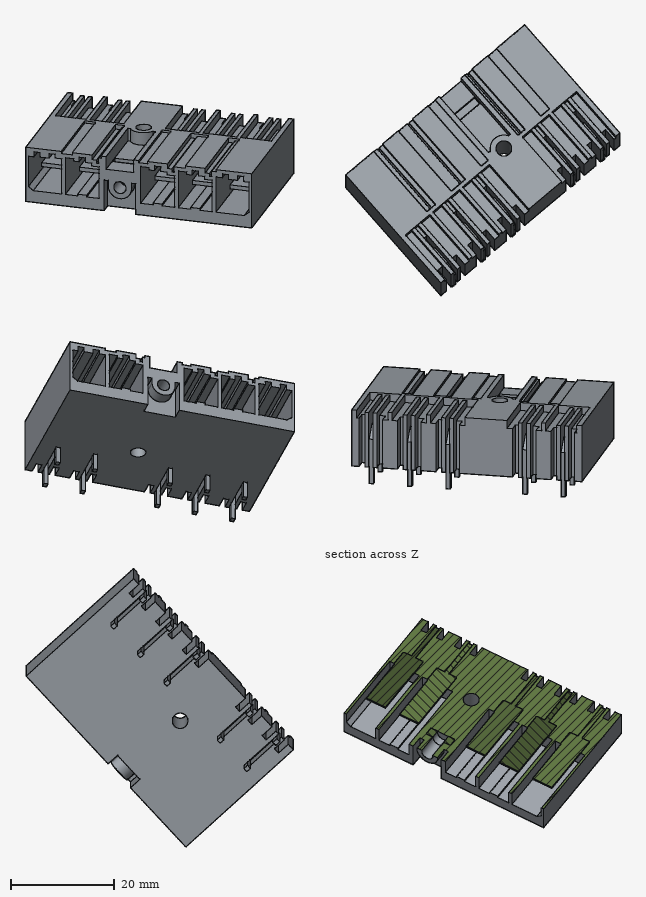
import cadquery as cq


LENGTH = 45.7
DEPTH = 28.3
HEIGHT = 11.45
POSITIONS = 6
PITCH = LENGTH / POSITIONS
FLANGE_POSITION = 2
BAY_POSITIONS = [i for i in range(POSITIONS) if i != FLANGE_POSITION]

CAVITY_DEPTH = 15.77
CAVITY_FLOOR = 2.45
CAVITY_HALF = 3.45
CAVITY_KEY_TOP = 10.65
CAVITY_KEY_BASE = 9.7
MIDDLE_KEY_HALF = 0.65
MIDDLE_LEFT_TOP = 10.2
MIDDLE_LEFT_STEP = 1.75
MIDDLE_RIGHT_TOP = 9.1
MIDDLE_RIGHT_STEP = 1.9
MIDDLE_RIB_HALF = 0.9
MIDDLE_RIB_HEIGHT = 0.35
END_OUTER = 3.25
END_OUTER_TOP = 9.6
END_INNER_TOP = 9.88
END_KEY_INNER = 0.9
END_KEY_OUTER = 2.15
END_CHAMFER_X = 0.95
END_CHAMFER_Z = 0.8

GROOVE_LENGTH = CAVITY_DEPTH
GROOVE_DEPTH = 0.45
GROOVE_START = 2.0
END_WALL_GROOVE = 3.4
STEP_DEPTH = 0.95
STEP_WIDTH = 0.85
SLIT_DEPTH = 1.6
SLIT_WIDTH = 0.45

POCKET_LENGTH = 11.7
POCKET_DEPTH = 1.6
POCKET_HALF = 3.45
POCKET_OUTER = 2.8
RIB_OUTER = 1.2
RIB_DROP = 0.3
NOTCH_OUTER = 2.35
NOTCH_LENGTH = 2.55

FLANGE_X = (FLANGE_POSITION + 0.5) * PITCH - LENGTH / 2
FLANGE_HALF = 2.8
FLANGE_DROP = 2.65
FLANGE_LENGTH = 14.68
MOUNT_Y = 16.0
MOUNT_HOLE_RADIUS = 1.5
MOUNT_BOSS_RADIUS = 2.65
RELIEF_HALF = 3.2
RELIEF_HEIGHT = 6.45
RELIEF_DEPTH = 2.45
SCREW_Z = 5.25
SCREW_HOLE_RADIUS = 1.25
SCREW_BOSS_RADIUS = 2.35

NUT_SIDE = 5.4
NUT_THICKNESS = 1.6
NUT_Y = 4.1

SHEET = 0.82
BLADE_WIDTH = 4.45
BLADE_Z = 5.7
BLADE_TIP_Y = 5.5
REAR_PIN_WIDTH = 1.1
FRONT_PIN_WIDTH = 0.95
PIN_LENGTH = 3.47
CONTACT_BACK = 0.45
CONTACT_LENGTH = 8.7
SHOULDER_FRONT = 6.68
SHOULDER_RISE = 1.85
SLOPE_LENGTH = 2.4
SLOPE_DROP = 2.4
CONTACT_BACK_Y = DEPTH - CONTACT_BACK
CONTACT_FRONT_Y = CONTACT_BACK_Y - CONTACT_LENGTH
BLADE_TOP = BLADE_Z + SHEET / 2
BLADE_BOTTOM = BLADE_Z - SHEET / 2
SHOULDER_TOP = BLADE_TOP + SHOULDER_RISE


def block(x_range, y_range, z_range):
    """A box between the given pairs of limits."""
    corner = (x_range[0], y_range[0], z_range[0])
    size = [limits[1] - limits[0] for limits in (x_range, y_range, z_range)]
    return cq.Workplane("XY").box(*size, centered=False).translate(corner)


def spread(center, half):
    """The pair of limits that lies evenly about a center."""
    return (center - half, center + half)


def from_front(profile, y_start, length):
    """Extrude a closed X-Z profile towards the back."""
    return profile.extrude(-length).translate((0, y_start, 0))


def bay_x(position):
    """X of the center line of a position, counted from the left."""
    return (position + 0.5) * PITCH - LENGTH / 2


def middle_cavity(x):
    """Cavity with one key slot in its roof and a low rib on its floor."""
    rib_top = CAVITY_FLOOR + MIDDLE_RIB_HEIGHT
    points = [
        (-CAVITY_HALF, CAVITY_FLOOR),
        (-CAVITY_HALF, MIDDLE_LEFT_TOP),
        (-MIDDLE_LEFT_STEP, MIDDLE_LEFT_TOP),
        (-MIDDLE_LEFT_STEP, CAVITY_KEY_BASE),
        (-MIDDLE_KEY_HALF, CAVITY_KEY_BASE),
        (-MIDDLE_KEY_HALF, CAVITY_KEY_TOP),
        (MIDDLE_KEY_HALF, CAVITY_KEY_TOP),
        (MIDDLE_KEY_HALF, CAVITY_KEY_BASE),
        (MIDDLE_RIGHT_STEP, CAVITY_KEY_BASE),
        (MIDDLE_RIGHT_STEP, MIDDLE_RIGHT_TOP),
        (CAVITY_HALF, MIDDLE_RIGHT_TOP),
        (CAVITY_HALF, CAVITY_FLOOR),
        (MIDDLE_RIB_HALF, CAVITY_FLOOR),
        (MIDDLE_RIB_HALF, rib_top),
        (-MIDDLE_RIB_HALF, rib_top),
        (-MIDDLE_RIB_HALF, CAVITY_FLOOR),
    ]
    profile = cq.Workplane("XZ").polyline(points).close()
    return from_front(profile, 0, CAVITY_DEPTH).translate((x, 0, 0))


def end_cavity(x, outward):
    """Cavity with two key slots in its roof and a chamfered outer floor corner; outward is -1 or 1."""
    points = [
        (-CAVITY_HALF, CAVITY_FLOOR),
        (-CAVITY_HALF, END_INNER_TOP),
        (-END_KEY_OUTER, END_INNER_TOP),
        (-END_KEY_OUTER, CAVITY_KEY_TOP),
        (-END_KEY_INNER, CAVITY_KEY_TOP),
        (-END_KEY_INNER, CAVITY_KEY_BASE),
        (END_KEY_INNER, CAVITY_KEY_BASE),
        (END_KEY_INNER, CAVITY_KEY_TOP),
        (END_KEY_OUTER, CAVITY_KEY_TOP),
        (END_KEY_OUTER, END_OUTER_TOP),
        (END_OUTER, END_OUTER_TOP),
        (END_OUTER, CAVITY_FLOOR + END_CHAMFER_Z),
        (END_OUTER - END_CHAMFER_X, CAVITY_FLOOR),
    ]
    profile = cq.Workplane("XZ").polyline([(outward * px, pz) for px, pz in points]).close()
    return from_front(profile, 0, CAVITY_DEPTH).translate((x, 0, 0))


def top_groove(x_start, x_end, depth):
    return block((x_start, x_end), (0, GROOVE_LENGTH), (HEIGHT - depth, HEIGHT))


def keyed_groove(x, x_end):
    """Stepped groove to the right of a bay center: a step, a narrow slit, then a shallow run."""
    step_start = x + GROOVE_START
    slit_start = step_start + STEP_WIDTH
    slit_end = slit_start + SLIT_WIDTH
    step = top_groove(step_start, slit_start, STEP_DEPTH)
    slit = top_groove(slit_start, slit_end, SLIT_DEPTH)
    return step.union(slit).union(top_groove(slit_end, x_end, GROOVE_DEPTH))


def top_grooves():
    """All grooves between neighbouring bays and beside the screw flange."""
    left_end, before_flange, after_flange, middle, right_end = [bay_x(i) for i in BAY_POSITIONS]
    grooves = top_groove(left_end + END_WALL_GROOVE, before_flange - GROOVE_START, GROOVE_DEPTH)
    grooves = grooves.union(keyed_groove(before_flange, before_flange + PITCH / 2))
    grooves = grooves.union(
        top_groove(after_flange - PITCH / 2, after_flange - GROOVE_START, GROOVE_DEPTH)
    )
    grooves = grooves.union(keyed_groove(after_flange, middle - GROOVE_START))
    return grooves.union(keyed_groove(middle, right_end - END_WALL_GROOVE))


def rear_pocket(position):
    """Pocket behind a bay, less its two ribs, with two notches through the back edge."""
    x = bay_x(position)
    left = POCKET_OUTER if position == 0 else POCKET_HALF
    right = POCKET_OUTER if position == POSITIONS - 1 else POCKET_HALF
    back = (DEPTH - POCKET_LENGTH, DEPTH)
    pocket = block((x - left, x + right), back, (HEIGHT - POCKET_DEPTH, HEIGHT))
    ribs = block(spread(x, RIB_OUTER), back, (0, HEIGHT - RIB_DROP))
    rib_gap = block(spread(x, SHEET / 2), back, (HEIGHT - POCKET_DEPTH, HEIGHT))
    notch_y = (DEPTH - NOTCH_LENGTH, DEPTH)
    notches = block(spread(x, NOTCH_OUTER), notch_y, (0, HEIGHT)).cut(
        block(spread(x, RIB_OUTER), notch_y, (0, HEIGHT))
    )
    return pocket.cut(ribs).union(rib_gap).union(notches)


def contact_seat(x):
    """Slot for the upright part of a contact and the opening for its blade."""
    slot = block(spread(x, SHEET / 2), (CONTACT_FRONT_Y, DEPTH), (0, HEIGHT))
    opening = block(
        spread(x, BLADE_WIDTH / 2), (CAVITY_DEPTH, CONTACT_FRONT_Y), (BLADE_BOTTOM, BLADE_TOP)
    )
    return slot.union(opening)


def flange_recess():
    """Open recess over the screw flange, rounded around the mounting hole."""
    recess = block(spread(FLANGE_X, FLANGE_HALF), (0, FLANGE_LENGTH), (HEIGHT - FLANGE_DROP, HEIGHT))
    boss = cq.Workplane("XY").center(FLANGE_X, MOUNT_Y).circle(MOUNT_BOSS_RADIUS).extrude(HEIGHT)
    return recess.cut(boss)


def mounting_hole():
    return cq.Workplane("XY").center(FLANGE_X, MOUNT_Y).circle(MOUNT_HOLE_RADIUS).extrude(HEIGHT)


def screw_relief():
    """Relief in the mating face below the flange floor, around a U-shaped screw boss."""
    relief = block(spread(FLANGE_X, RELIEF_HALF), (0, RELIEF_DEPTH), (0, RELIEF_HEIGHT))
    boss = (
        cq.Workplane("XZ")
        .moveTo(FLANGE_X - SCREW_BOSS_RADIUS, RELIEF_HEIGHT)
        .lineTo(FLANGE_X - SCREW_BOSS_RADIUS, SCREW_Z)
        .threePointArc((FLANGE_X, SCREW_Z - SCREW_BOSS_RADIUS), (FLANGE_X + SCREW_BOSS_RADIUS, SCREW_Z))
        .lineTo(FLANGE_X + SCREW_BOSS_RADIUS, RELIEF_HEIGHT)
        .close()
    )
    return relief.cut(from_front(boss, 0, RELIEF_DEPTH))


def screw_bore(y_start, length):
    circle = cq.Workplane("XZ").center(FLANGE_X, SCREW_Z).circle(SCREW_HOLE_RADIUS)
    return from_front(circle, y_start, length)


def nut_slot():
    return block(
        spread(FLANGE_X, NUT_SIDE / 2),
        (NUT_Y, NUT_Y + NUT_THICKNESS),
        (SCREW_Z - NUT_SIDE / 2, HEIGHT - FLANGE_DROP),
    )


def make_housing():
    body = block(spread(0, LENGTH / 2), (0, DEPTH), (0, HEIGHT))
    for position in BAY_POSITIONS:
        x = bay_x(position)
        if position == 0:
            body = body.cut(end_cavity(x, -1))
        elif position == POSITIONS - 1:
            body = body.cut(end_cavity(x, 1))
        else:
            body = body.cut(middle_cavity(x))
        body = body.cut(rear_pocket(position)).cut(contact_seat(x))
    body = body.cut(top_grooves())
    body = body.cut(flange_recess()).cut(mounting_hole()).cut(screw_relief())
    return body.cut(nut_slot()).cut(screw_bore(0, NUT_Y))


def make_nut():
    nut = block(
        spread(FLANGE_X, NUT_SIDE / 2),
        (NUT_Y, NUT_Y + NUT_THICKNESS),
        spread(SCREW_Z, NUT_SIDE / 2),
    )
    return nut.cut(screw_bore(NUT_Y, NUT_THICKNESS))


def make_contact(x):
    """Flat blade joined to an upright plate that carries two solder pins."""
    shoulder_y = DEPTH - SHOULDER_FRONT
    points = [
        (CONTACT_FRONT_Y, -PIN_LENGTH),
        (CONTACT_FRONT_Y, BLADE_TOP),
        (shoulder_y, BLADE_TOP),
        (shoulder_y, SHOULDER_TOP),
        (CONTACT_BACK_Y - SLOPE_LENGTH, SHOULDER_TOP),
        (CONTACT_BACK_Y, SHOULDER_TOP - SLOPE_DROP),
        (CONTACT_BACK_Y, -PIN_LENGTH),
        (CONTACT_BACK_Y - REAR_PIN_WIDTH, -PIN_LENGTH),
        (CONTACT_BACK_Y - REAR_PIN_WIDTH, BLADE_BOTTOM),
        (CONTACT_FRONT_Y + FRONT_PIN_WIDTH, BLADE_BOTTOM),
        (CONTACT_FRONT_Y + FRONT_PIN_WIDTH, -PIN_LENGTH),
    ]
    plate = cq.Workplane("YZ").polyline(points).close().extrude(SHEET / 2, both=True)
    blade = block(
        spread(0, BLADE_WIDTH / 2), (BLADE_TIP_Y, CONTACT_FRONT_Y), (BLADE_BOTTOM, BLADE_TOP)
    )
    return plate.union(blade).translate((x, 0, 0))


housing = make_housing()
nut = make_nut()
contacts = [make_contact(bay_x(position)) for position in BAY_POSITIONS]

result = cq.Compound.makeCompound([housing.val(), nut.val(), *[contact.val() for contact in contacts]])